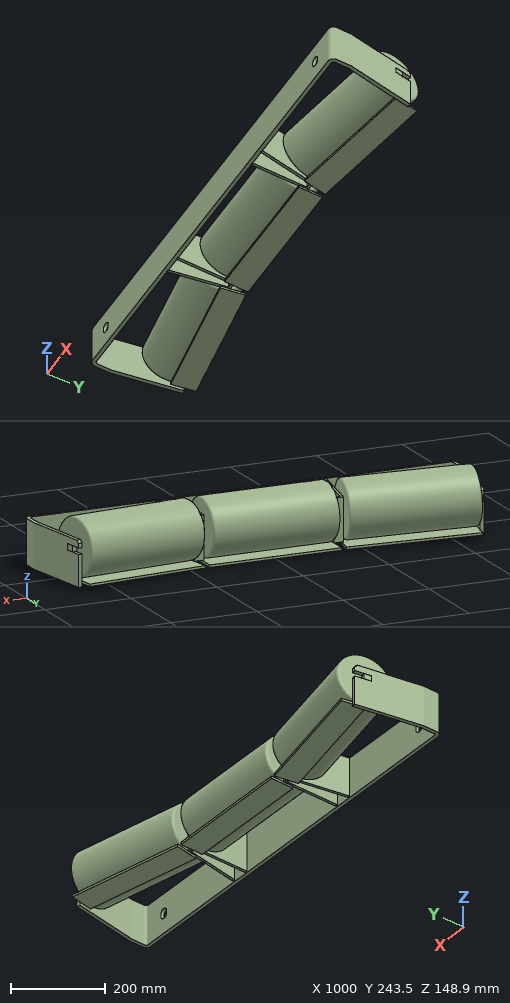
import cadquery as cq
import math

frame_length = 1000.0
frame_height = 103.0
frame_thickness = 9.0
frame_corner_radius = 14.0
arm_bend_y = 49.0
arm_end_y = 212.0
arm_chamfer = 6.0
mount_hole_x = 433.0
mount_hole_width = 19.0
mount_hole_height = 25.0

wing_angle = 10.0
wing_pitch = 1.8
pivot_x = 165.0
axis_y = 126.0
axis_z = 70.0

roller_diameter = 133.0
roller_edge_radius = 6.0
centre_roller_length = 294.0
wing_roller_start = 14.0
wing_roller_length = 291.0
stub_width = 18.0
stub_height = 14.0

bracket_thickness = 6.0
bracket_inner_x = 151.0
bracket_end_y = 150.0
bracket_bottom_z = 4.0
wing_leg_start = 6.0

guard_thickness = 6.0
guard_depth = 58.0
guard_gap = 0.5
guard_end_gap = 1.0

swing = math.radians(wing_angle)
half_length = frame_length / 2
arm_lean = (arm_end_y - arm_bend_y) * math.tan(swing)
arm_bend_setback = frame_thickness * math.tan(swing / 2)
arm_end_slant = frame_thickness * math.sin(swing)
arm_face = (half_length - pivot_x) * math.cos(swing) + (arm_bend_y - axis_y) * math.sin(swing)
roller_radius = roller_diameter / 2
guard_top = -roller_radius - guard_gap
guard_shift = -(guard_top - guard_thickness) * math.sin(math.radians(wing_pitch))


def box_between(x_range, y_range, z_range):
    """Axis-aligned block from its limits along X, Y and Z."""
    size = [high - low for low, high in (x_range, y_range, z_range)]
    corner = (x_range[0], y_range[0], z_range[0])
    return cq.Workplane("XY").box(*size, centered=False).translate(corner)


def place_centre(body):
    """Move a body from roller-axis coordinates to the centre roller."""
    return body.translate((0, axis_y, axis_z))


def place_wing(body, side):
    """Move a body whose X runs outward from the pivot onto the +X or -X wing."""
    body = body.rotate((0, 0, 0), (0, 1, 0), -wing_pitch)
    body = body.rotate((0, 0, 0), (0, 0, 1), wing_angle)
    body = body.translate((pivot_x, axis_y, axis_z))
    return body if side > 0 else body.mirror("YZ")


def make_stub(start, end):
    """Flat-sided shaft along X."""
    half_width = stub_width / 2
    half_height = stub_height / 2
    return box_between((start, end), (-half_width, half_width), (-half_height, half_height))


def make_roller(start, end, stub_start, stub_end):
    """Cylinder with rounded rims along X, with a shaft stub beyond each end."""
    shell = cq.Workplane("YZ").workplane(offset=start).circle(roller_radius).extrude(end - start)
    shell = shell.edges("%CIRCLE").fillet(roller_edge_radius)
    return shell.union(make_stub(stub_start, stub_end))


def make_guard(start, end):
    """Flat plate just below the rear half of a roller."""
    return box_between((start, end), (0, guard_depth), (guard_top - guard_thickness, guard_top))


def make_frame():
    outer_tip = (half_length - arm_lean, arm_end_y)
    inner_x = half_length - frame_thickness
    inner_tip = (
        outer_tip[0] - frame_thickness * math.cos(swing),
        arm_end_y - arm_end_slant,
    )
    right_half = [
        (half_length, 0),
        (half_length, arm_bend_y),
        outer_tip,
        inner_tip,
        (inner_x, arm_bend_y - arm_bend_setback),
        (inner_x, frame_thickness),
    ]
    left_half = [(-x, y) for x, y in reversed(right_half)]
    bar = cq.Workplane("XY").polyline(right_half + left_half).close().extrude(frame_height)
    bar = bar.edges("|Z and <Y").fillet(frame_corner_radius)
    inner_corners = cq.selectors.BoxSelector(
        (-half_length, frame_thickness / 2, 0),
        (half_length, 2 * frame_thickness, frame_height),
    )
    bar = bar.edges("|Z").edges(inner_corners).fillet(frame_corner_radius - frame_thickness)
    arm_tip_tops = cq.selectors.BoxSelector(
        (-half_length, arm_end_y - frame_thickness / 2, frame_height - arm_chamfer),
        (half_length, arm_end_y + frame_thickness / 2, frame_height + arm_chamfer),
    )
    bar = bar.edges(arm_tip_tops).chamfer(arm_chamfer)

    holes = (
        cq.Workplane("XZ")
        .pushPoints([(-mount_hole_x, frame_height / 2), (mount_hole_x, frame_height / 2)])
        .slot2D(mount_hole_height, mount_hole_width, 90)
        .extrude(-2 * frame_thickness)
    )
    bar = bar.cut(holes)
    slot = box_between(
        (arm_face - 2 * frame_thickness, arm_face + frame_thickness),
        (-stub_width / 2, arm_end_y),
        (-stub_height / 2, stub_height / 2),
    )
    for side in (1, -1):
        bar = bar.cut(place_wing(slot, side))
    return bar


def make_bracket(side):
    """Straight leg, rear wall and slanted leg as one bent sheet."""
    straight_outer = bracket_inner_x + bracket_thickness
    slope = math.tan(swing)

    def wing_face_x(distance, y):
        """X of a leg face square to the wing axis in plan, at depth y."""
        return pivot_x + distance / math.cos(swing) - (y - axis_y) * slope

    wall_y = bracket_end_y - bracket_thickness
    wing_leg_end = wing_leg_start + bracket_thickness
    outline = [
        (bracket_inner_x, frame_thickness),
        (bracket_inner_x, bracket_end_y),
        (wing_face_x(wing_leg_end, bracket_end_y), bracket_end_y),
        (wing_face_x(wing_leg_end, frame_thickness), frame_thickness),
        (wing_face_x(wing_leg_start, frame_thickness), frame_thickness),
        (wing_face_x(wing_leg_start, wall_y), wall_y),
        (straight_outer, wall_y),
        (straight_outer, frame_thickness),
    ]
    sheet = cq.Workplane("XY").polyline(outline).close().extrude(frame_height - bracket_bottom_z)
    sheet = sheet.translate((0, 0, bracket_bottom_z))
    sheet = sheet.cut(place_centre(make_stub(-straight_outer, straight_outer)))
    sheet = sheet.cut(place_wing(make_stub(0, arm_face), 1))
    return sheet if side > 0 else sheet.mirror("YZ")


frame = make_frame()

half_centre = centre_roller_length / 2
stub_reach = bracket_inner_x + bracket_thickness
wing_roller_end = wing_roller_start + wing_roller_length
centre_roller = make_roller(-half_centre, half_centre, -stub_reach, stub_reach)
wing_roller = make_roller(wing_roller_start, wing_roller_end, wing_leg_start, arm_face)

half_guard = bracket_inner_x + bracket_thickness / 2
wing_guard_start = wing_leg_start + bracket_thickness / 2 - guard_shift
wing_guard_end = arm_face - frame_thickness - guard_end_gap - guard_shift
centre_guard = make_guard(-half_guard, half_guard)
wing_guard = make_guard(wing_guard_start, wing_guard_end)

rollers = [place_centre(centre_roller)]
guards = [place_centre(centre_guard)]
brackets = []
for side in (1, -1):
    rollers.append(place_wing(wing_roller, side))
    guards.append(place_wing(wing_guard, side))
    brackets.append(make_bracket(side))

bodies = [frame] + rollers + guards + brackets
result = cq.Compound.makeCompound([body.solids().val() for body in bodies])